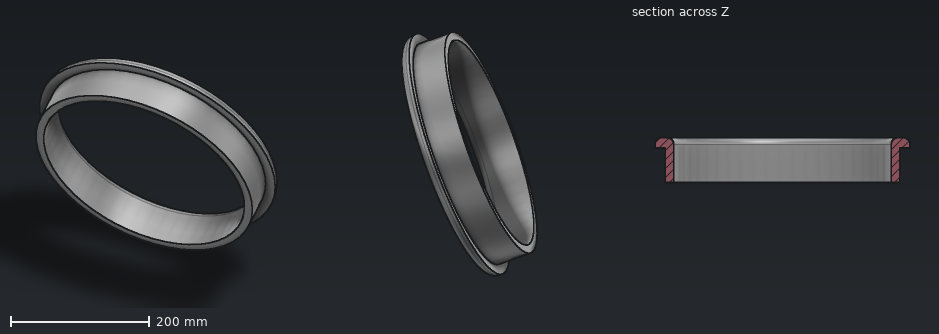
import cadquery as cq

flange_diameter = 370.0
sleeve_diameter = 340.0
bore_diameter = 315.0
total_depth = 65.0
flange_thickness = 15.0
rim_radius = 10.0

flange_radius = flange_diameter / 2
sleeve_radius = sleeve_diameter / 2
bore_radius = bore_diameter / 2
shoulder_y = total_depth - flange_thickness


def ring_profile():
    """Half section of the ring: X is the radius, Y is the depth."""
    return (
        cq.Workplane("XY")
        .moveTo(bore_radius, 0)
        .lineTo(sleeve_radius, 0)
        .lineTo(sleeve_radius, shoulder_y)
        .lineTo(flange_radius, shoulder_y)
        .lineTo(flange_radius, total_depth - rim_radius)
        .radiusArc((flange_radius - rim_radius, total_depth), -rim_radius)
        .lineTo(bore_radius + rim_radius, total_depth)
        .radiusArc((bore_radius, total_depth - rim_radius), -rim_radius)
        .close()
    )


result = ring_profile().revolve(360, (0, 0, 0), (0, 1, 0))